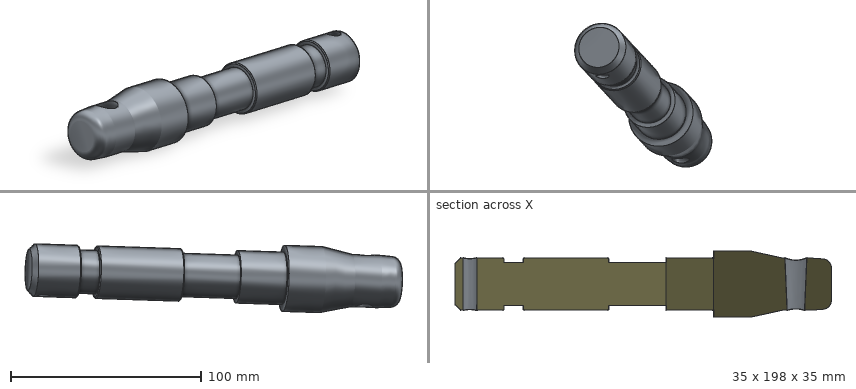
import cadquery as cq

total_length = 198.0
groove_start = 26.0
groove_end = 35.8
neck_start = 81.0
spacer_start = 111.0
collar_start = 136.0
taper_start = 155.8
tail_start = 172.0
tail_taper_start = 186.3

main_radius = 13.9
neck_radius = 11.5
collar_radius = 17.5
tip_radius = 13.0

head_chamfer = 3.0
edge_chamfer = 0.5
tip_fillet = 5.0

head_hole_diameter = 7.0
head_hole_place = 8.0
tail_hole_top_diameter = 11.5
tail_hole_bottom_diameter = 9.1
tail_hole_place = (tail_start + tail_taper_start) / 2


def axis_y(place):
    """Y coordinate of a place measured from the head end."""
    return total_length / 2 - place


def turned(outline):
    """Solid of revolution about Y from (radius, place) corners, closed along the axis."""
    first_place = outline[0][1]
    last_place = outline[-1][1]
    corners = [(0, first_place), *outline, (0, last_place)]
    points = [(axis_y(place), radius) for radius, place in corners]
    return cq.Workplane("YZ").polyline(points).close().revolve(360, (0, 0), (1, 0))


def cross_hole(diameter, place):
    """Cutter along Z that passes through the whole part."""
    cutter_length = 3 * collar_radius
    center = cq.Workplane("XY").center(0, axis_y(place))
    return center.circle(diameter / 2).extrude(cutter_length / 2, both=True)


def tapered_cross_hole():
    """Conical cutter along Z, wide at the top and narrow at the bottom of the tail."""
    bottom = cq.Workplane("XY", origin=(0, axis_y(tail_hole_place), -main_radius))
    bottom_circle = bottom.circle(tail_hole_bottom_diameter / 2)
    top_circle = bottom_circle.workplane(offset=2 * main_radius).circle(tail_hole_top_diameter / 2)
    return top_circle.loft(ruled=True)


def make_shaft():
    """Drilled head, groove, guide length and neck, with broken edges at each step."""
    inner = main_radius - edge_chamfer
    shaft = turned([
        (main_radius - head_chamfer, 0),
        (main_radius, head_chamfer),
        (main_radius, groove_start - edge_chamfer),
        (inner, groove_start),
        (neck_radius, groove_start),
        (neck_radius, groove_end),
        (inner, groove_end),
        (main_radius, groove_end + edge_chamfer),
        (main_radius, neck_start - edge_chamfer),
        (inner, neck_start),
        (neck_radius, neck_start),
        (neck_radius, spacer_start),
    ])
    return shaft.cut(cross_hole(head_hole_diameter, head_hole_place))


def make_spacer():
    """Cylinder between the neck and the collar, chamfered at the collar."""
    return turned([
        (main_radius, spacer_start),
        (main_radius, collar_start - edge_chamfer),
        (main_radius - edge_chamfer, collar_start),
    ])


def make_tail():
    """Collar tapering down to a rounded tail with a tapered cross hole."""
    tail = turned([
        (collar_radius, collar_start),
        (collar_radius, taper_start),
        (main_radius, tail_start),
        (main_radius, tail_taper_start),
        (tip_radius, total_length),
    ])
    tail = tail.faces("<Y").edges().fillet(tip_fillet)
    return tail.cut(tapered_cross_hole())


shaft = make_shaft()
spacer = make_spacer()
tail = make_tail()

result = cq.Compound.makeCompound([shaft.val(), spacer.val(), tail.val()])